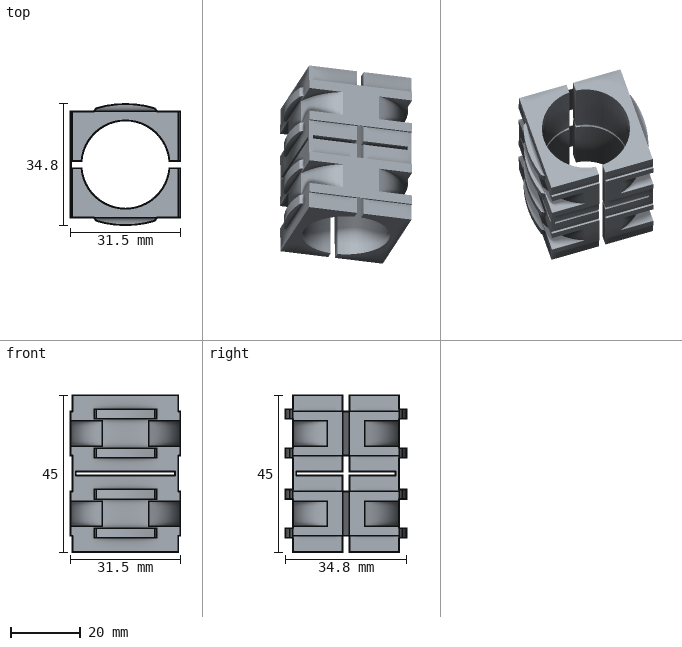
import cadquery as cq

height = 45.0
body_x = 30.38
body_y = 30.45
bore_dia = 25.2

band_x = 31.5
band_height = 12.75
band_pitch = 22.95
groove_height = 7.2
groove_radius = 16.65

rib_base_width = 18.0
rib_crest_width = 16.75
rib_span_y = 34.8
rib_crest_drop = 1.25
rib_height = 2.8
rib_gap = 8.32

split_width = 2.0
web_thickness = 0.2

slit_length = 28.35
slit_height = 1.1

cut_length = 2 * rib_span_y
band_levels = [-band_pitch / 2, band_pitch / 2]


def block(size_x, size_y, size_z, level=0):
    return cq.Workplane("XY").box(size_x, size_y, size_z).translate((0, 0, level))


def strap_groove(level):
    """Material outside the groove radius, over the groove height."""
    cylinder = cq.Workplane("XY").circle(groove_radius).extrude(groove_height)
    cylinder = cylinder.translate((0, 0, level - groove_height / 2))
    return block(cut_length, cut_length, groove_height, level).cut(cylinder)


def rib(level):
    """Rib on the +Y side, centred on the given level."""
    crest_y = rib_span_y / 2
    shoulder_y = crest_y - rib_crest_drop
    base_y = body_y / 2
    return (
        cq.Workplane("XY")
        .workplane(offset=level - rib_height / 2)
        .moveTo(-rib_base_width / 2, 0)
        .lineTo(-rib_base_width / 2, base_y)
        .lineTo(-rib_crest_width / 2, shoulder_y)
        .threePointArc((0, crest_y), (rib_crest_width / 2, shoulder_y))
        .lineTo(rib_base_width / 2, base_y)
        .lineTo(rib_base_width / 2, 0)
        .close()
        .extrude(rib_height)
    )


result = block(body_x, body_y, height)
for band_level in band_levels:
    result = result.union(block(band_x, body_y, band_height, band_level))
    result = result.cut(strap_groove(band_level))

rib_offset = (rib_gap + rib_height) / 2
for band_level in band_levels:
    for rib_level in (band_level - rib_offset, band_level + rib_offset):
        far_rib = rib(rib_level)
        result = result.union(far_rib).union(far_rib.mirror("XZ"))

bore = cq.Workplane("XY").circle(bore_dia / 2).extrude(height)
result = result.cut(bore.translate((0, 0, -height / 2)))

split = block(band_x, split_width, height).translate((web_thickness, 0, 0))
result = result.cut(split)

result = result.cut(block(slit_length, cut_length, slit_height))
result = result.cut(block(cut_length, slit_length, slit_height))